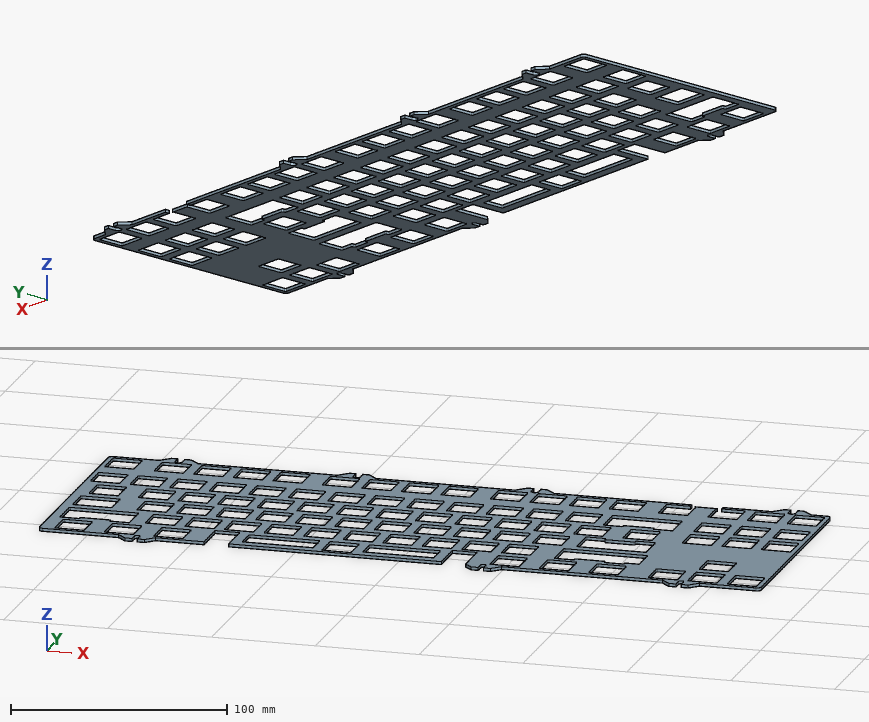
import cadquery as cq

length = 347.5
overall_width = 128.0
thickness = 1.5

pitch = length / 18.25
plate_width = 6.25 * pitch
corner_radius = 2.0

border_width = 2.5
switch_web = 2 * border_width
switch_size = pitch - switch_web
cutout_radius = 0.52
caps_step = 0.25 * pitch

stabiliser_length = 33.5
lobe_reach = 1.7
lobe_gap = 14.5

space_slot_length = 34.0
space_slot_height = 11.5
space_notch_width = 11.8
space_notch_reach = 2.0

border_gap_width = 15.0

bottom_tab_height = 4.0
top_tab_height = overall_width - plate_width - bottom_tab_height
tab_tip_width = 9.5
top_tab_slot_width = 3.5
bottom_tab_slot_width = 2.5
tab_slot_depth = 1.5

function_row, number_row, upper_row, home_row, shift_row, bottom_row = 0.5, 1.75, 2.75, 3.75, 4.75, 5.75

navigation_columns = [15.75, 16.75, 17.75]
up_arrow_column = 16.75
space_bar_column = 7.5
switch_columns = {
    function_row: [0.5, 1.75, 2.75, 3.75, 4.75, 6, 7, 8, 9,
                   10.25, 11.25, 12.25, 13.25, 14.5] + navigation_columns,
    number_row: [0.5 + i for i in range(13)] + navigation_columns,
    upper_row: [0.75] + [2 + i for i in range(12)] + [14.25] + navigation_columns,
    home_row: [2.25 + i for i in range(11)],
    shift_row: [2.75 + i for i in range(10)] + [up_arrow_column],
    bottom_row: [0.75, 2, 3.25, space_bar_column, 11.75, 13, 14.25] + navigation_columns,
}
caps_lock_column = 0.75
backspace_column = 14
enter_column = 13.875
left_shift_column = 1.125
right_shift_column = 13.625
split_shift_column = 14.5
space_notch_columns = [4.5, 10.5]
border_gap_column = 15.125
top_tab_columns = [1.75, 6.25, 10.75, 17.25]
bottom_tab_columns = [2.5, 11.25, 16.25]


def column_x(column):
    return column * pitch - length / 2


def row_y(row):
    return plate_width / 2 - row * pitch


def block(x, y, size_x, size_y):
    """Full-thickness block centred on x, y."""
    return cq.Workplane("XY").center(x, y).rect(size_x, size_y).extrude(thickness)


def round_corners(body):
    return body.edges("|Z").fillet(cutout_radius)


def tab(column, side, height):
    """Tapered tab on the top (side = 1) or bottom (side = -1) edge."""
    x = column_x(column)
    edge = side * plate_width / 2
    tip = edge + side * height
    base_width = tab_tip_width + 2 * height
    return (
        cq.Workplane("XY")
        .moveTo(x - base_width / 2, edge)
        .lineTo(x - tab_tip_width / 2, tip)
        .lineTo(x + tab_tip_width / 2, tip)
        .lineTo(x + base_width / 2, edge)
        .close()
        .extrude(thickness)
    )


def tab_slot(column, side, height, slot_width):
    """Slot with a round end that splits a tab in two."""
    slot_length = 2 * (height + tab_slot_depth)
    y = side * (plate_width / 2 - tab_slot_depth + slot_length / 2)
    return (
        cq.Workplane("XY")
        .center(column_x(column), y)
        .slot2D(slot_length, slot_width, 90)
        .extrude(thickness)
    )


def stabiliser_cutout(column, row, side, extra_switch_column=None):
    """Long cutout whose lobes reach up (side = 1) or down (side = -1)."""
    x, y = column_x(column), row_y(row)
    cutout = block(x, y + side * lobe_reach / 2, stabiliser_length, switch_size + lobe_reach)
    cutout = cutout.cut(block(x, y + side * (switch_size + lobe_reach) / 2, lobe_gap, lobe_reach))
    if extra_switch_column is not None:
        cutout = cutout.union(block(column_x(extra_switch_column), y, switch_size, switch_size))
    return round_corners(cutout)


plate = block(0, 0, length, plate_width).edges("|Z").fillet(corner_radius)
for column in top_tab_columns:
    plate = plate.union(tab(column, 1, top_tab_height))
    plate = plate.cut(tab_slot(column, 1, top_tab_height, top_tab_slot_width))
for column in bottom_tab_columns:
    plate = plate.union(tab(column, -1, bottom_tab_height))
    plate = plate.cut(tab_slot(column, -1, bottom_tab_height, bottom_tab_slot_width))

switch_points = [
    (column_x(column), row_y(row))
    for row, columns in switch_columns.items()
    for column in columns
]
switches = (
    cq.Workplane("XY")
    .pushPoints(switch_points)
    .rect(switch_size, switch_size)
    .extrude(thickness)
)
plate = plate.cut(round_corners(switches))

caps_lock = block(column_x(caps_lock_column), row_y(home_row), switch_size + caps_step, switch_size)
plate = plate.cut(round_corners(caps_lock))

plate = plate.cut(stabiliser_cutout(backspace_column, number_row, -1))
plate = plate.cut(stabiliser_cutout(enter_column, home_row, 1))
plate = plate.cut(stabiliser_cutout(left_shift_column, shift_row, -1))
plate = plate.cut(stabiliser_cutout(right_shift_column, shift_row, -1, split_shift_column))

bottom_row_top = row_y(bottom_row) + switch_size / 2
slot_y = bottom_row_top - space_slot_height / 2
slot_offset = switch_size / 2 + switch_web + space_slot_length / 2
for side in (-1, 1):
    slot_x = column_x(space_bar_column) + side * slot_offset
    plate = plate.cut(round_corners(block(slot_x, slot_y, space_slot_length, space_slot_height)))
notch_top = bottom_row_top + space_notch_reach
notch_bottom = -plate_width / 2 - bottom_tab_height
notch_y = (notch_top + notch_bottom) / 2
for column in space_notch_columns:
    plate = plate.cut(block(column_x(column), notch_y, space_notch_width, notch_top - notch_bottom))

border_y = (plate_width - border_width) / 2
result = plate.cut(block(column_x(border_gap_column), border_y, border_gap_width, border_width))